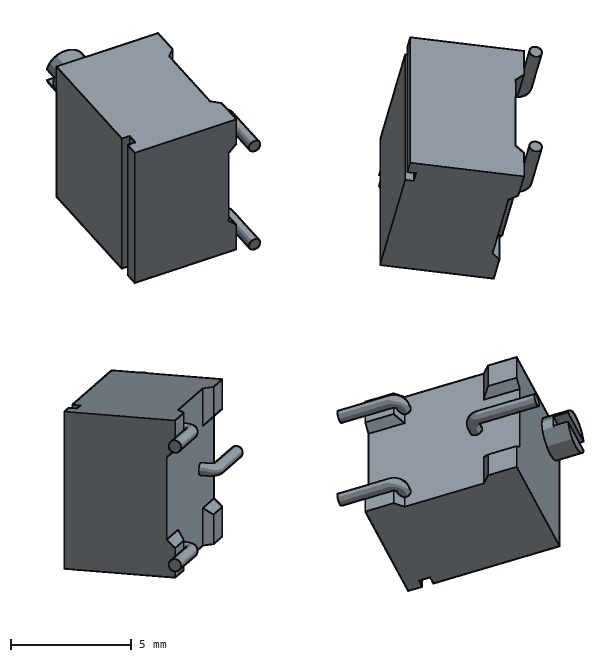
import cadquery as cq

body_side = 6.76
body_depth = 4.8

standoff_side = 1.28
channel_depth = 0.36
channel_slope_run = 0.34
channel_floor_y = body_depth - channel_depth

groove_width = 0.5
groove_depth = 0.37
groove_edge_distance = 0.62

screw_radius = 0.93
screw_length = 1.14
screw_y = 1.05
screw_z = body_side - 1.24
slot_width = 0.56
slot_depth = 0.64

pin_diameter = 0.535
pin_gap = 0.04
pin_overhang = 1.02
pin_bend_radius = 0.375
pin_axis_y = body_depth + pin_gap + pin_diameter / 2
left_pin_inset = 1.945
right_pin_inset = 1.63
right_pin_edge_distance = 0.83


def make_channel(plane):
    """Sloped channel cut through the back, drawn across the plane's local X axis."""
    floor_start = standoff_side + channel_slope_run
    return (
        cq.Workplane(plane)
        .moveTo(standoff_side, body_depth)
        .lineTo(floor_start, channel_floor_y)
        .lineTo(body_side - floor_start, channel_floor_y)
        .lineTo(body_side - standoff_side, body_depth)
        .close()
        .extrude(body_side)
    )


def make_body():
    """Block with crossed back channels and a front groove."""
    body = cq.Workplane("XY").box(body_side, body_depth, body_side, centered=False)
    upright_channel = make_channel(cq.Plane.XY())
    right_face = cq.Plane(origin=(body_side, 0, 0), xDir=(0, 0, 1), normal=(-1, 0, 0))
    level_channel = make_channel(right_face)
    groove = (
        cq.Workplane("XY")
        .box(groove_width, groove_depth, body_side, centered=False)
        .translate((body_side - groove_edge_distance - groove_width, 0, 0))
    )
    return body.cut(upright_channel).cut(level_channel).cut(groove)


def make_screw():
    """Screw head pointing to -X with a slot along Y across its end."""
    head = (
        cq.Workplane("YZ")
        .center(screw_y, screw_z)
        .circle(screw_radius)
        .extrude(-screw_length)
    )
    slot = (
        cq.Workplane("XY")
        .box(slot_depth, 2 * screw_radius, slot_width, centered=(False, True, True))
        .translate((-screw_length, screw_y, screw_z))
    )
    return head.cut(slot)


def make_pin(root_x, tip_x, z):
    """Pin rising from the channel floor at root_x, then bending towards tip_x."""
    direction = 1 if tip_x > root_x else -1
    bend_start_y = pin_axis_y - pin_bend_radius
    bend_end_x = root_x + direction * pin_bend_radius
    path = (
        cq.Workplane("XY", origin=(0, 0, z))
        .moveTo(root_x, channel_floor_y)
        .lineTo(root_x, bend_start_y)
        .tangentArcPoint((bend_end_x, pin_axis_y), relative=False)
        .lineTo(tip_x, pin_axis_y)
    )
    root_plane = cq.Plane(origin=(root_x, channel_floor_y, z), xDir=(1, 0, 0), normal=(0, 1, 0))
    return cq.Workplane(root_plane).circle(pin_diameter / 2).sweep(path)


result = make_body().union(make_screw())
result = result.union(make_pin(left_pin_inset, -pin_overhang, body_side / 2))
for pin_z in (right_pin_edge_distance, body_side - right_pin_edge_distance):
    result = result.union(make_pin(body_side - right_pin_inset, body_side + pin_overhang, pin_z))